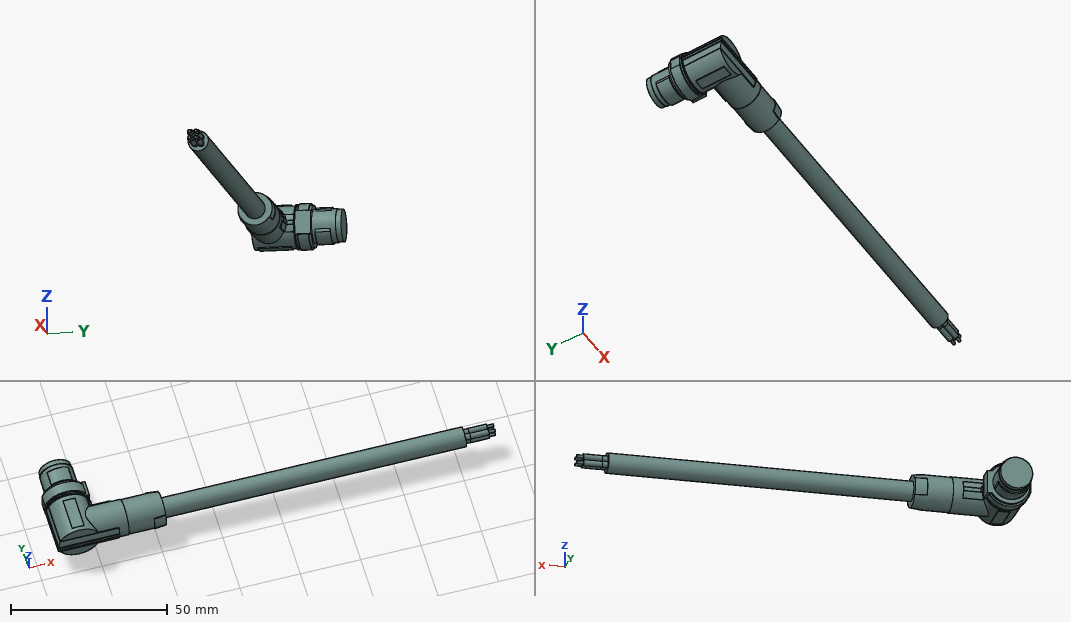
import cadquery as cq


tip_end = 23.5
tip_radius = 5.3
plug_step = 21.8
plug_radius = 11.0 / 2
collar_end = 14.0
ring_start, ring_end = 9.7, 13.2
ring_radius = 7.5
ring_flat = 7.2
flange_start = 8.5
flange_end = flange_start + 0.5
flange_radius = 14.5 / 2
body_radius = 6.9
body_bottom = -5.3

land_start, land_end = 15.0, 20.0
land_radius = 11.8 / 2
upper_land_half_width = 3.5
lower_land_half_width = 5.1

block_half_width = 3.8
block_reach = 7.3

label_half_width = 4.0 / 2
label_start, label_end = -4.0, 6.9
label_height = body_radius + 0.07

arm_radius = 5.8
arm_end = 16.4
sleeve_radius = 5.7
sleeve_end = 24.9
cone_end = 28.8
cone_end_radius = 10.7 / 2
grip_lift = 0.22
cable_radius = 6.6 / 2
cable_end = 128.8

stub_end = 130.6
stub_radius, stub_offset = 1.0, 0.95
wire_end = 136.7
wire_radius, wire_offset = 0.95, 1.0
conductor_end = 139.0
conductor_radius = 0.51

band_half_width = 5.7 / 2
head_band_radius = 7.0
arm_band_radius = 6.1
band_end = 13.2
ridge_half_width = 0.66
ridge_outer, ridge_inner = 7.3, 7.6
arm_ridge_reach = 6.5


def box(x_range, y_range, z_range):
    """Axis-aligned box between the given limits."""
    sizes = [end - start for start, end in (x_range, y_range, z_range)]
    corner = (x_range[0], y_range[0], z_range[0])
    return cq.Workplane("XY").box(*sizes, centered=False).translate(corner)


def symmetric(half_width):
    """Range of the given half width about zero."""
    return (-half_width, half_width)


def rod_x(radius, start, end, y=0, z=0):
    """Cylinder parallel to X."""
    return cq.Workplane("YZ", origin=(start, y, z)).circle(radius).extrude(end - start)


def rod_y(radius, start, end):
    """Cylinder on the head axis."""
    return cq.Workplane("XZ", origin=(0, start, 0)).circle(radius).extrude(start - end)


def make_head():
    head = rod_y(body_radius, body_bottom, collar_end)
    head = head.union(rod_y(flange_radius, flange_start, flange_end))
    head = head.union(rod_y(plug_radius, 0, plug_step))
    head = head.union(rod_y(tip_radius, 0, tip_end))

    flats = box(symmetric(ring_flat), (ring_start, ring_end), symmetric(ring_radius))
    head = head.union(rod_y(ring_radius, ring_start, ring_end).intersect(flats))

    block = box((0, block_reach), (flange_end, collar_end), symmetric(block_half_width))
    labels = box(symmetric(label_half_width), (label_start, label_end), symmetric(label_height))
    return head.union(block).union(labels)


def make_lands():
    """Two raised lands with flat side walls, on the top and bottom of the plug."""
    blank = rod_y(land_radius, land_start, land_end)
    length = (land_start, land_end)
    upper = box(symmetric(upper_land_half_width), length, (0, land_radius))
    lower = box(symmetric(lower_land_half_width), length, (-land_radius, 0))
    return blank.intersect(upper.union(lower))


def end_cone(lift):
    """Tapered end of the arm, raised by lift."""
    profile = [
        (sleeve_end, 0),
        (sleeve_end, sleeve_radius + lift),
        (cone_end, cone_end_radius + lift),
        (cone_end, 0),
    ]
    return cq.Workplane("XY").polyline(profile).close().revolve(360, (0, 0, 0), (1, 0, 0))


def make_arm():
    arm = rod_x(arm_radius, 0, arm_end)
    arm = arm.union(rod_x(sleeve_radius, 0, sleeve_end))
    grip_reach = symmetric(sleeve_radius + grip_lift)
    grip_slab = box((sleeve_end, cone_end), grip_reach, symmetric(band_half_width))
    grips = end_cone(grip_lift).intersect(grip_slab)
    arm = arm.union(end_cone(0)).union(grips)
    return arm.union(rod_x(cable_radius, 0, cable_end))


def make_cores():
    cores = cq.Workplane("XY")
    for side_y in (-1, 1):
        for side_z in (-1, 1):
            stub_at = (side_y * stub_offset, side_z * stub_offset)
            wire_at = (side_y * wire_offset, side_z * wire_offset)
            cores = cores.union(rod_x(stub_radius, sleeve_end, stub_end, *stub_at))
            cores = cores.union(rod_x(wire_radius, stub_end, wire_end, *wire_at))
            cores = cores.union(rod_x(conductor_radius, wire_end, conductor_end, *wire_at))
    return cores


def make_band():
    """Rounded band along the head and the arm, mitred at the outer corner."""
    head_part = rod_y(head_band_radius, 0, flange_start)
    arm_part = rod_x(arm_band_radius, 0, band_end)
    head_below = rod_y(head_band_radius, -arm_band_radius, 0)
    corner = head_below.intersect(rod_x(arm_band_radius, -head_band_radius, head_band_radius))
    slab = box((-ridge_outer, band_end), (-arm_ridge_reach, flange_start), symmetric(band_half_width))
    return head_part.union(arm_part).union(corner).intersect(slab)


def make_ridge():
    """Narrow ridge along the middle of the band."""
    width = symmetric(ridge_half_width)
    head_part = box((-ridge_outer, ridge_inner), (-arm_ridge_reach, flange_start), width)
    arm_part = box((-ridge_outer, band_end), symmetric(arm_ridge_reach), width)
    return head_part.union(arm_part)


result = make_head().union(make_lands()).union(make_arm()).union(make_cores())
result = result.union(make_band()).union(make_ridge())